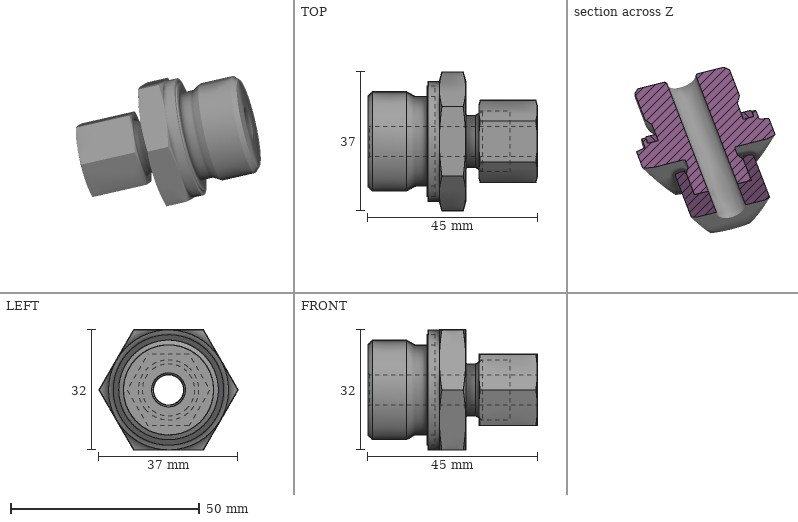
import cadquery as cq
import math


stud_end_chamfer = 1.25
stud_taper_start = 10.2
collar_face = 16.0
hex_start = 19.0
hex_end = 26.0
nut_start = 29.48
total_length = 45.0

stud_radius = 13.25
stud_neck_radius = 11.92
stud_neck_fillet = 1.15

hex_across_flats = 32.0
envelope_margin = 0.45
collar_radius = 15.95

shank_radius = 6.95
shank_fillet = 0.4
shank_taper_start = 28.6
tube_thread_radius = 8.0
tube_thread_end = 37.8

bore_radius = 4.0
bore_chamfer = 0.5

seal_outer_radius = 14.65
seal_face = 15.65
seal_groove_depth = 1.8

nut_across_flats = 19.0

taper_angle = 30.0
hex_chamfer_angle = 15.0
hex_half_sector = 30.0
quarter_turn_middle = 45.0


def slope(angle):
    return math.tan(math.radians(angle))


def disc(radius, start, end):
    """Cylinder on the X axis between two stations."""
    return cq.Workplane("YZ", origin=(start, 0, 0)).circle(radius).extrude(end - start)


def chamfered_hexagon(across_flats, chamfer_radius, start, end):
    """Hexagon along X with flats facing +Z and -Z, its corners turned to a cone at both ends."""
    corner_radius = across_flats / 2 / math.cos(math.radians(hex_half_sector))
    prism = cq.Workplane("YZ", origin=(start, 0, 0)).polygon(6, 2 * corner_radius).extrude(end - start)
    envelope_radius = corner_radius + envelope_margin
    chamfer_length = (envelope_radius - chamfer_radius) * slope(hex_chamfer_angle)
    envelope = (
        cq.Workplane("XY")
        .moveTo(start, 0)
        .lineTo(start, chamfer_radius)
        .lineTo(start + chamfer_length, envelope_radius)
        .lineTo(end - chamfer_length, envelope_radius)
        .lineTo(end, chamfer_radius)
        .lineTo(end, 0)
        .close()
        .revolve(360, (0, 0, 0), (1, 0, 0))
    )
    return prism.intersect(envelope)


def turned_stud():
    """Stud with end chamfer, taper down to the neck and a fillet where the taper meets the neck."""
    half_angle = math.radians(taper_angle / 2)
    taper_length = (stud_radius - stud_neck_radius) / slope(taper_angle)
    neck_corner = stud_taper_start + taper_length
    tangent_length = stud_neck_fillet * math.tan(half_angle)
    fillet_start = (
        neck_corner - tangent_length * math.cos(2 * half_angle),
        stud_neck_radius + tangent_length * math.sin(2 * half_angle),
    )
    fillet_end = (neck_corner + tangent_length, stud_neck_radius)
    fillet_middle = (
        fillet_end[0] - stud_neck_fillet * math.sin(half_angle),
        stud_neck_radius + stud_neck_fillet * (1 - math.cos(half_angle)),
    )
    return (
        cq.Workplane("XY")
        .lineTo(0, stud_radius - stud_end_chamfer)
        .lineTo(stud_end_chamfer, stud_radius)
        .lineTo(stud_taper_start, stud_radius)
        .lineTo(*fillet_start)
        .threePointArc(fillet_middle, fillet_end)
        .lineTo(hex_start, stud_neck_radius)
        .lineTo(hex_start, 0)
        .close()
        .revolve(360, (0, 0, 0), (1, 0, 0))
    )


def turned_shank():
    """Tube-side shank: filleted at the hexagon, flaring up to the thread that enters the nut."""
    flare_length = (tube_thread_radius - shank_radius) / slope(taper_angle)
    fillet_rise = shank_fillet * (1 - math.cos(math.radians(quarter_turn_middle)))
    return (
        cq.Workplane("XY")
        .moveTo(hex_end, 0)
        .lineTo(hex_end, shank_radius + shank_fillet)
        .threePointArc(
            (hex_end + fillet_rise, shank_radius + fillet_rise),
            (hex_end + shank_fillet, shank_radius),
        )
        .lineTo(shank_taper_start, shank_radius)
        .lineTo(shank_taper_start + flare_length, tube_thread_radius)
        .lineTo(tube_thread_end, tube_thread_radius)
        .lineTo(tube_thread_end, 0)
        .close()
        .revolve(360, (0, 0, 0), (1, 0, 0))
    )


def make_seal():
    """Flat ring around the neck, seated in the collar face."""
    seat = collar_face + seal_groove_depth
    ring = disc(seal_outer_radius, seal_face, seat)
    return ring.cut(disc(stud_neck_radius, seal_face, seat))


def make_body(seal):
    """Stud, collar, hexagon and shank in one piece, bored through, with a groove for the seal."""
    collar = disc(collar_radius, collar_face, hex_start)
    hexagon = chamfered_hexagon(hex_across_flats, collar_radius, hex_start, hex_end)
    blank = turned_stud().union(collar.cut(seal)).union(hexagon).union(turned_shank())
    bored = blank.cut(disc(bore_radius, 0, tube_thread_end))
    return bored.faces("<X").edges(cq.selectors.RadiusNthSelector(0)).chamfer(bore_chamfer)


def make_nut():
    """Union nut with a threaded pocket for the shank and a tube hole through its end wall."""
    blank = chamfered_hexagon(nut_across_flats, nut_across_flats / 2, nut_start, total_length)
    pocket = disc(tube_thread_radius, nut_start, tube_thread_end)
    return blank.cut(pocket).cut(disc(bore_radius, nut_start, total_length))


seal = make_seal()
body = make_body(seal)
nut = make_nut()

result = cq.Compound.makeCompound([body.val(), seal.val(), nut.val()])